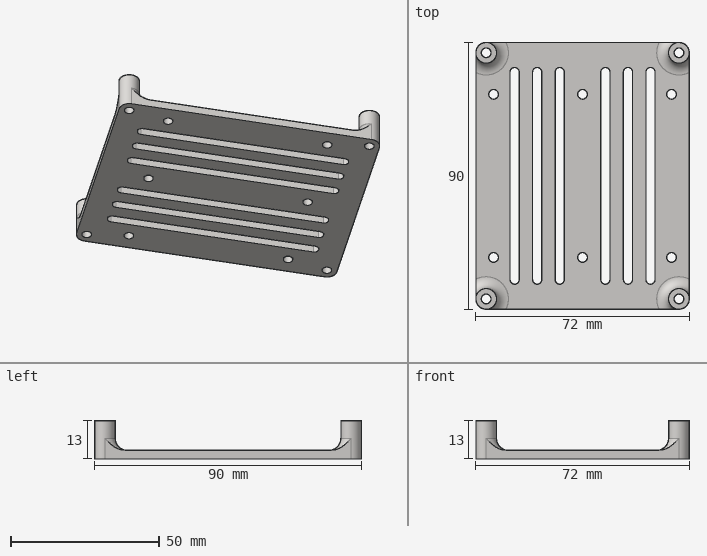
import cadquery as cq
import math

plate_x = 72.0
plate_y = 90.0
plate_thickness = 3.0

total_height = 13.0
post_radius = 3.5
post_flare_radius = 4.0
post_offset_x = plate_x / 2 - post_radius
post_offset_y = plate_y / 2 - post_radius

hole_diameter = 3.2
plate_hole_offset_x = 30.0
plate_hole_offset_y = 27.5

slot_width = 3.0
slot_length = 73.0
slots_per_side = 3
inner_slot_x = 7.7
slot_pitch = 7.6


def corner_points(offset_x, offset_y):
    return [(sx * offset_x, sy * offset_y) for sx in (-1, 1) for sy in (-1, 1)]


def notched_plate():
    """Plate with a square notch at each corner, which the post fills to round it."""
    lengthwise = cq.Workplane("XY").rect(2 * post_offset_x, plate_y).extrude(plate_thickness)
    crosswise = cq.Workplane("XY").rect(plate_x, 2 * post_offset_y).extrude(plate_thickness)
    return lengthwise.union(crosswise)


def post_flare():
    """Concave flare about the Z axis, open in the outward (+X, +Y) quadrant."""
    flare_top = plate_thickness + post_flare_radius
    flare_foot = post_radius + post_flare_radius
    midpoint_inset = post_flare_radius * (1 - math.sqrt(0.5))
    flare_midpoint = (post_radius + midpoint_inset, plate_thickness + midpoint_inset)
    flare = (
        cq.Workplane("XZ")
        .lineTo(flare_foot, 0)
        .lineTo(flare_foot, plate_thickness)
        .threePointArc(flare_midpoint, (post_radius, flare_top))
        .lineTo(0, flare_top)
        .close()
        .revolve(270, (0, 0, 0), (0, -1, 0))
    )
    trim_size = post_radius + flare_foot
    trim_center = (post_radius - flare_foot) / 2
    trim_block = (
        cq.Workplane("XY")
        .center(trim_center, trim_center)
        .rect(trim_size, trim_size)
        .extrude(flare_top)
    )
    return flare.intersect(trim_block)


def corner_post():
    """Post with its flare at the (+X, +Y) corner."""
    post = cq.Workplane("XY").circle(post_radius).extrude(total_height)
    return post.union(post_flare()).translate((post_offset_x, post_offset_y, 0))


def plate_with_posts():
    """Plate with the corner post mirrored to all four corners."""
    body = notched_plate()
    post = corner_post()
    opposite_post = post.mirror("YZ")
    for corner in (post, opposite_post):
        body = body.union(corner).union(corner.mirror("XZ"))
    return body


def hole_cutters():
    """Holes down the posts and two rows of three holes in the plate."""
    centers = corner_points(post_offset_x, post_offset_y)
    centers += corner_points(plate_hole_offset_x, plate_hole_offset_y)
    centers += [(0, plate_hole_offset_y), (0, -plate_hole_offset_y)]
    return cq.Workplane("XY").pushPoints(centers).circle(hole_diameter / 2).extrude(total_height)


def slot_cutters():
    """Round-ended slots running along Y."""
    slot_positions = [inner_slot_x + i * slot_pitch for i in range(slots_per_side)]
    centers = [(side * x, 0) for x in slot_positions for side in (-1, 1)]
    return (
        cq.Workplane("XY")
        .pushPoints(centers)
        .slot2D(slot_length, slot_width, 90)
        .extrude(plate_thickness)
    )


result = plate_with_posts().cut(hole_cutters()).cut(slot_cutters())